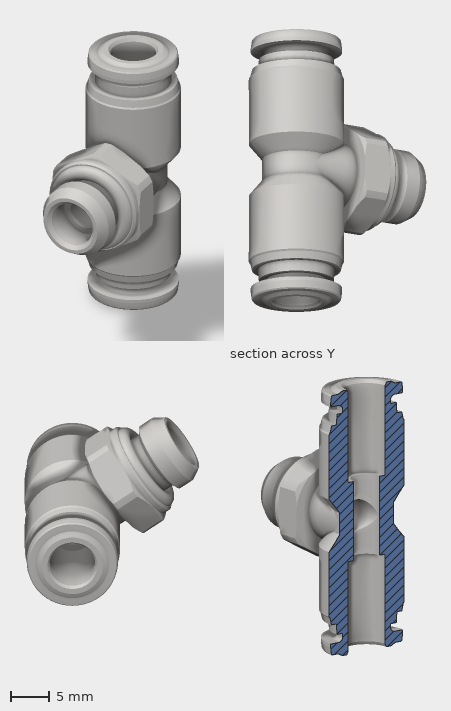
import cadquery as cq

RUN_HALF_LENGTH = 18.0
BODY_RADIUS = 12.5 / 2
WAIST_RADIUS = 9 / 2
WAIST_HALF_HEIGHT = 1.48
WAIST_CONE_END = 3.55
BODY_END = 12.35
BODY_BEVEL_END = 12.55
BODY_BEVEL_RADIUS = 6.1
SHOULDER_HEIGHT = 13.55
SHOULDER_RADIUS = 5.85
COLLAR_BASE_RADIUS = 5.05
COLLAR_HEIGHT = 14.98
COLLAR_TOP_RADIUS = 4.95

RING_NECK_RADIUS = 8.0 / 2
RING_UNDERSIDE = 16.05
RING_FILLET = 0.6
RING_RADIUS = 12.0 / 2
RING_STRAIGHT_END = 16.52
RING_TAPER_END = 17.45
RING_TAPER_RADIUS = 5.85
RING_FACE = 17.65
RING_FACE_RADIUS = 5.72
RING_LIP_RADIUS = 4.7

TOLERANCE = 0.0005

BRANCH_RADIUS = 9 / 2
HEX_START = 6.55
HEX_END = 10.5
HEX_ACROSS_FLATS = 13.0
HEX_CORNER_RADIUS = 7.25
HEX_BACK_RADIUS = 6.62
HEX_BACK_BEVEL = 0.32
HEX_FRONT_BEVEL = 0.45
FLANGE_RADIUS = 12.9 / 2
FLANGE_STRAIGHT_END = 11.25
FLANGE_FACE = 11.55
FLANGE_FACE_RADIUS = 6.2
THREAD_NECK_RADIUS = 8.0 / 2
SEAL_SECTION_RADIUS = 1.0
SEAL_CENTRE_RADIUS = THREAD_NECK_RADIUS + SEAL_SECTION_RADIUS
THREAD_START = 13.55
THREAD_RADIUS = 9.72 / 2
THREAD_FULL_START = 14.08
THREAD_FULL_END = 16.02
BRANCH_TIP = 23.75 - BODY_RADIUS
TIP_RADIUS = 8.0 / 2

BORE_RADIUS = 4.2 / 2
SOCKET_RADIUS = 6.0 / 2
RUN_SOCKET_DEPTH = 12.6
RUN_MOUTH_RADIUS = 3.28
RUN_MOUTH_DEPTH = 0.45
BRANCH_SOCKET_DEPTH = 4.0
BRANCH_MOUTH_RADIUS = 3.5
BRANCH_MOUTH_DEPTH = 0.5


def turned(points):
    """Revolve (radius, height) points about Z, closing the profile along the axis."""
    outline = [(0, points[0][1])] + points + [(0, points[-1][1])]
    profile = cq.Workplane("XZ").polyline(outline).close()
    return profile.revolve(360, (0, 0, 0), (0, 1, 0))


def toward_branch(solid):
    """Turn a solid built along +Z so that it points along -Y."""
    return solid.rotate((0, 0, 0), (1, 0, 0), 90)


def make_run_half():
    sharp = turned([
        (WAIST_RADIUS, 0),
        (WAIST_RADIUS, WAIST_HALF_HEIGHT),
        (BODY_RADIUS, WAIST_CONE_END),
        (BODY_RADIUS, BODY_END),
        (BODY_BEVEL_RADIUS, BODY_BEVEL_END),
        (SHOULDER_RADIUS, SHOULDER_HEIGHT),
        (COLLAR_BASE_RADIUS, SHOULDER_HEIGHT),
        (COLLAR_TOP_RADIUS, COLLAR_HEIGHT),
        (RING_NECK_RADIUS, COLLAR_HEIGHT),
        (RING_NECK_RADIUS, RING_UNDERSIDE),
        (RING_RADIUS, RING_UNDERSIDE),
        (RING_RADIUS, RING_STRAIGHT_END),
        (RING_TAPER_RADIUS, RING_TAPER_END),
        (RING_FACE_RADIUS, RING_FACE),
        (RING_LIP_RADIUS, RING_FACE),
        (RING_NECK_RADIUS, RUN_HALF_LENGTH),
    ])

    def is_ring_root(edge):
        is_circle = edge.geomType() == "CIRCLE"
        at_underside = abs(edge.Center().z - RING_UNDERSIDE) < TOLERANCE
        return is_circle and at_underside and abs(edge.radius() - RING_NECK_RADIUS) < TOLERANCE

    return sharp.edges().filter(is_ring_root).fillet(RING_FILLET)


def make_hexagon():
    """Hexagon with turned corners and flats facing +X and -X."""
    corner_to_corner = HEX_ACROSS_FLATS / (3 ** 0.5 / 2)
    prism = (
        cq.Workplane("XY", origin=(0, 0, HEX_START))
        .polygon(6, corner_to_corner)
        .extrude(HEX_END - HEX_START)
        .rotate((0, 0, 0), (0, 0, 1), 30)
    )
    envelope = turned([
        (HEX_BACK_RADIUS, HEX_START),
        (HEX_CORNER_RADIUS, HEX_START + HEX_BACK_BEVEL),
        (HEX_CORNER_RADIUS, HEX_END - HEX_FRONT_BEVEL),
        (FLANGE_RADIUS, HEX_END),
    ])
    return prism.intersect(envelope)


def make_branch():
    spigot = turned([
        (BRANCH_RADIUS, 0),
        (BRANCH_RADIUS, HEX_START),
        (FLANGE_RADIUS, HEX_START),
        (FLANGE_RADIUS, FLANGE_STRAIGHT_END),
        (FLANGE_FACE_RADIUS, FLANGE_FACE),
        (THREAD_NECK_RADIUS, FLANGE_FACE),
        (THREAD_NECK_RADIUS, THREAD_START),
        (THREAD_RADIUS, THREAD_FULL_START),
        (THREAD_RADIUS, THREAD_FULL_END),
        (TIP_RADIUS, BRANCH_TIP),
    ])
    seal = (
        cq.Workplane("XZ")
        .moveTo(SEAL_CENTRE_RADIUS - SEAL_SECTION_RADIUS, FLANGE_FACE)
        .radiusArc((SEAL_CENTRE_RADIUS, FLANGE_FACE + SEAL_SECTION_RADIUS), SEAL_SECTION_RADIUS)
        .radiusArc((SEAL_CENTRE_RADIUS + SEAL_SECTION_RADIUS, FLANGE_FACE), SEAL_SECTION_RADIUS)
        .close()
        .revolve(360, (0, 0, 0), (0, 1, 0))
    )
    return toward_branch(spigot.union(make_hexagon()).union(seal))


def make_socket(end, socket_depth, mouth_radius, mouth_depth):
    """Wide socket with a bevelled mouth that opens at the given distance along Z."""
    return turned([
        (SOCKET_RADIUS, end - socket_depth),
        (SOCKET_RADIUS, end - mouth_depth),
        (mouth_radius, end),
    ])


run_half = make_run_half()
run_socket = make_socket(RUN_HALF_LENGTH, RUN_SOCKET_DEPTH, RUN_MOUTH_RADIUS, RUN_MOUTH_DEPTH)
run_bore = (
    cq.Workplane("XY", origin=(0, 0, -RUN_HALF_LENGTH))
    .circle(BORE_RADIUS)
    .extrude(2 * RUN_HALF_LENGTH)
)
branch_bore = toward_branch(cq.Workplane("XY").circle(BORE_RADIUS).extrude(BRANCH_TIP))
branch_socket = toward_branch(
    make_socket(BRANCH_TIP, BRANCH_SOCKET_DEPTH, BRANCH_MOUTH_RADIUS, BRANCH_MOUTH_DEPTH)
)

result = (
    run_half.union(run_half.mirror("XY"))
    .union(make_branch())
    .cut(run_socket)
    .cut(run_socket.mirror("XY"))
    .cut(branch_socket)
    .cut(run_bore)
    .cut(branch_bore)
)